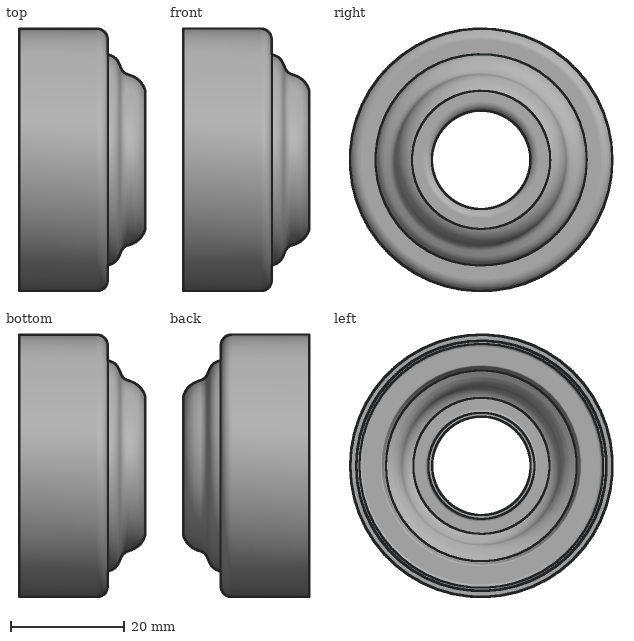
import cadquery as cq
import math

length = 22.3
outer_radius = 23.2
sheet = 1.0
cup_depth = 15.7
cup_corner = 2.0
mouth_radius = 22.05
mouth_depth = 6.9
cup_bore_radius = 21.55
cup_inner_corner = 0.6
cup_floor = cup_depth - sheet
rim_chamfer = 0.1

taper = math.tan(math.radians(20))
shoulder_radius = 18.65
shoulder_arc_start = 16.2
shoulder_arc_end = (17.65, 17.1)
neck_arc_start = (18.05, 16.15)
nose_cone_start = (19.35, 15.1)
nose_arc_start = 19.8
nose_face_radius = 12.2

inner_edge_radius = 17.75
inner_edge_end = (14.8, 17.55)
inner_shoulder_arc_start = 15.45
inner_shoulder_arc_end = (16.45, 16.85)
inner_neck_arc_start = (17.15, 15.65)
inner_nose_cone_start = (19.0, 14.1)
inner_nose_arc_start = 19.5
nose_floor_radius = 12.0
nose_floor = length - sheet

nose_turn = 53
neck_turn = 40
inner_edge_turn = 60

bore_radius = 8.7
collar_radius = 9.35
collar_end = 18.6
collar_fillet = 0.55
bore_mouth_fillet = 1.6


def along_taper(start, x):
    """Point at x on the gentle taper that passes through start."""
    return (x, start[1] - taper * (x - start[0]))


def fillet_arc(sketch, end, center, radius, direction_degrees):
    """Arc about center to end, passing the point at the given angle in degrees."""
    angle = math.radians(direction_degrees)
    middle = (center[0] + radius * math.cos(angle), center[1] + radius * math.sin(angle))
    return sketch.threePointArc(middle, end)


def bulged_arc(sketch, start, end, sweep):
    """Arc turning through sweep degrees; a positive sweep turns anticlockwise."""
    sag = math.tan(math.radians(sweep / 4)) / 2
    run = end[0] - start[0]
    rise = end[1] - start[1]
    middle = ((start[0] + end[0]) / 2 + sag * rise, (start[1] + end[1]) / 2 - sag * run)
    return sketch.threePointArc(middle, end)


profile = cq.Workplane("XY").moveTo(0, mouth_radius + rim_chamfer)
profile = profile.lineTo(0, outer_radius - rim_chamfer).lineTo(rim_chamfer, outer_radius)
corner_center = (cup_depth - cup_corner, outer_radius - cup_corner)
profile = profile.lineTo(corner_center[0], outer_radius)
profile = fillet_arc(profile, (cup_depth, corner_center[1]), corner_center, cup_corner, 45)
shoulder_start = (cup_depth, shoulder_radius)
profile = (
    profile.lineTo(*shoulder_start)
    .lineTo(*along_taper(shoulder_start, shoulder_arc_start))
    .tangentArcPoint(shoulder_arc_end, relative=False)
    .lineTo(*neck_arc_start)
    .tangentArcPoint(nose_cone_start, relative=False)
    .lineTo(*along_taper(nose_cone_start, nose_arc_start))
    .tangentArcPoint((length, nose_face_radius), relative=False)
)

mouth_center = (length - bore_mouth_fillet, bore_radius + bore_mouth_fillet)
profile = profile.lineTo(length, mouth_center[1])
profile = fillet_arc(profile, (mouth_center[0], bore_radius), mouth_center, bore_mouth_fillet, -45)
collar_center = (nose_floor - collar_fillet, collar_radius + collar_fillet)
profile = (
    profile.lineTo(collar_end, bore_radius)
    .lineTo(collar_end, collar_radius)
    .lineTo(collar_center[0], collar_radius)
)
profile = fillet_arc(profile, (nose_floor, collar_center[1]), collar_center, collar_fillet, -45)

inner_nose_arc_point = along_taper(inner_nose_cone_start, inner_nose_arc_start)
inner_shoulder_arc_point = along_taper(inner_edge_end, inner_shoulder_arc_start)
profile = profile.lineTo(nose_floor, nose_floor_radius)
profile = bulged_arc(profile, (nose_floor, nose_floor_radius), inner_nose_arc_point, nose_turn)
profile = profile.lineTo(*inner_nose_cone_start)
profile = bulged_arc(profile, inner_nose_cone_start, inner_neck_arc_start, -neck_turn)
profile = profile.lineTo(*inner_shoulder_arc_end)
profile = bulged_arc(profile, inner_shoulder_arc_end, inner_shoulder_arc_point, neck_turn)
profile = profile.lineTo(*inner_edge_end)
profile = bulged_arc(profile, inner_edge_end, (cup_floor, inner_edge_radius), -inner_edge_turn)

inner_center = (cup_floor - cup_inner_corner, cup_bore_radius - cup_inner_corner)
profile = profile.lineTo(cup_floor, inner_center[1])
profile = fillet_arc(profile, (inner_center[0], cup_bore_radius), inner_center, cup_inner_corner, 45)
profile = (
    profile.lineTo(mouth_depth, cup_bore_radius)
    .lineTo(mouth_depth, mouth_radius)
    .lineTo(rim_chamfer, mouth_radius)
    .close()
)

result = profile.revolve(360, (0, 0, 0), (1, 0, 0))